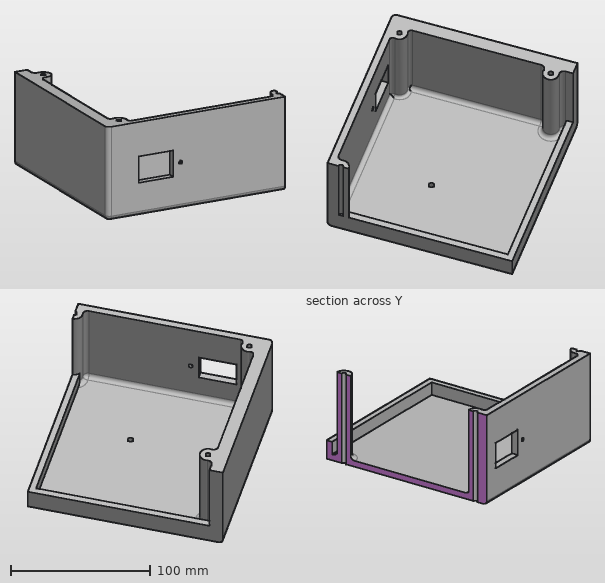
import cadquery as cq
length_x = 140.0
length_y = 145
height = 71

floor_thickness = 5.1
front_wall = 10.0
side_wall = 5.4
lip_thickness = 5.0
lip_height = 15.0
outer_round = 3.5
inner_round = 3.5
small_round = 2.5

post_radius = 6.0
post_inset = 15.1
post_to_right_side = 10.2
post_hole_diameter = 3.5

floor_hole_diameter = 4.0
floor_hole_x = 80.0
floor_hole_y = 90.0
window_width = 28.0
window_height = 20.0
window_center_y = 40.0
side_center_z = 35.0
pin_hole_y = 60.0
pin_hole_diameter = 3.0
pin_hole_outlet_diameter = 2.5

overhang = 21.8
margin = 0.1
inner_side_x = length_x - side_wall
right_post_x = length_x - post_to_right_side
left_post = (post_inset, post_inset)
right_post = (right_post_x, post_inset)
back_post = (right_post_x, length_y)


def block(x_range, y_range, z_range):
    """Box between two limits along each axis."""
    low, high = zip(x_range, y_range, z_range)
    size = [b - a for a, b in zip(low, high)]
    return cq.Workplane("XY").box(*size, centered=False).translate(low)


def post(center):
    """Round screw post standing from the underside to the top, tied into the nearest wall."""
    return cq.Workplane("XY").center(*center).circle(post_radius).extrude(height)


def upright_hole(center, diameter, bottom=0):
    """Vertical cutter running from the bottom level out through the top."""
    plane = cq.Workplane("XY").workplane(offset=bottom)
    return plane.center(*center).circle(diameter / 2).extrude(height - bottom)


def inside_corners(center):
    """Selector for the upright edges where a post meets the walls."""
    x, y = center
    reach = 1.5 * post_radius
    return cq.selectors.BoxSelector(
        (x - reach, y - reach, floor_thickness - margin),
        (x + reach, y + reach, height - margin),
    )


def foot_edges(body):
    """Edges where the walls and posts stand on the floor."""
    return body.edges(
        cq.selectors.BoxSelector(
            (margin - overhang, margin, floor_thickness - margin),
            (length_x - margin, length_y + overhang - margin, floor_thickness + margin),
        )
    )


def blend_posts(body, centers, radius):
    """Add posts, round their corners with the walls and round everything along the floor."""
    for center in centers:
        body = body.union(post(center))
        body = body.edges(inside_corners(center)).edges("|Z").fillet(radius)
    return foot_edges(body).fillet(radius)


x_span = (-overhang, length_x)
y_span = (0, length_y + overhang)
shell = block(x_span, y_span, (0, floor_thickness))
shell = shell.union(block(x_span, (0, front_wall), (0, height)))
shell = shell.union(block((inner_side_x, length_x), y_span, (0, height)))

corner_fill = block((right_post_x, length_x), (0, post_inset), (0, height))
right_corner = blend_posts(shell.union(corner_fill), [right_post], small_round)
body = blend_posts(shell, [left_post, back_post], inner_round).union(right_corner)

left_lip = block((0, lip_thickness), (0, length_y), (0, lip_height))
back_lip = block((0, length_x), (length_y - lip_thickness, length_y), (0, lip_height))
body = body.union(left_lip).union(back_lip)

outer_box = block((0, length_x), (0, length_y), (0, height))
rounded_edges = outer_box.edges("|Z and >X and <Y").add(outer_box.faces("<Z").edges(">X or <Y"))
body = body.intersect(rounded_edges.fillet(outer_round))

for center in (left_post, right_post):
    body = body.cut(upright_hole(center, post_hole_diameter))
body = body.cut(upright_hole(back_post, post_hole_diameter, lip_height))
body = body.cut(upright_hole((floor_hole_x, floor_hole_y), floor_hole_diameter))

window = cq.Workplane("XY").box(2 * side_wall, window_width, window_height)
body = body.cut(window.translate((inner_side_x + side_wall / 2, window_center_y, side_center_z)))

pin_plane = cq.Workplane("YZ", origin=(inner_side_x, pin_hole_y, side_center_z))
pin_bore = pin_plane.circle(pin_hole_diameter / 2).extrude(side_wall / 2)
pin_outlet = pin_plane.circle(pin_hole_outlet_diameter / 2).extrude(side_wall)
result = body.cut(pin_bore).cut(pin_outlet)